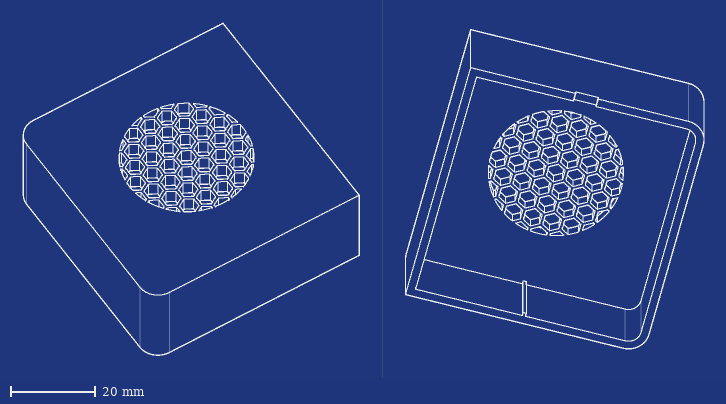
import cadquery as cq
import math

LENGTH = 60.1
DEPTH = 58.4
HEIGHT = 24.0
CORNER_RADIUS = 5.05

ROOF = 4.0
WALL = 2.0

GRILLE_X = -1.3
GRILLE_SETBACK = 29.85
GRILLE_DIAMETER = 32.0
CELL_WIDTH = 3.95
WEB = 0.8

NOTCH_WIDTH = 5.5
NOTCH_HEIGHT = 1.0

RIB_WIDTH = WEB
RIB_PROJECTION = WEB

LEFT = -LENGTH / 2
RIGHT = LENGTH / 2
FRONT = -DEPTH / 2
GRILLE_Y = FRONT + GRILLE_SETBACK
CAVITY_HEIGHT = HEIGHT - ROOF


def make_shell():
    """Box with two rounded front corners, hollowed from below."""
    outer = cq.Workplane("XY").box(LENGTH, DEPTH, HEIGHT, centered=(True, True, False))
    outer = outer.edges("|Z and <Y").fillet(CORNER_RADIUS)
    cavity = cq.Workplane("XY").box(
        LENGTH - 2 * WALL, DEPTH - 2 * WALL, CAVITY_HEIGHT, centered=(True, True, False)
    )
    cavity = cavity.edges("|Z and <Y").fillet(CORNER_RADIUS - WALL)
    return outer.cut(cavity)


def grille_cell_centres():
    """Honeycomb centres whose cells reach into the grille circle."""
    row_pitch = CELL_WIDTH + WEB
    column_pitch = row_pitch * math.cos(math.radians(30))
    cell_radius = CELL_WIDTH / math.sqrt(3)
    reach = GRILLE_DIAMETER / 2 + cell_radius
    columns = math.ceil(reach / column_pitch)
    rows = math.ceil(reach / row_pitch)
    centres = []
    for column in range(-columns, columns + 1):
        stagger = row_pitch / 2 if column % 2 else 0
        for row in range(-rows, rows + 1):
            x = column * column_pitch
            y = row * row_pitch + stagger
            if math.hypot(x, y) < reach:
                centres.append((x, y))
    return centres


def make_grille_openings():
    """Hexagonal prisms through the roof, trimmed to the grille circle."""
    base = cq.Workplane("XY", origin=(GRILLE_X, GRILLE_Y, CAVITY_HEIGHT))
    corner_to_corner = 2 * CELL_WIDTH / math.sqrt(3)
    cells = base.pushPoints(grille_cell_centres()).polygon(6, corner_to_corner).extrude(ROOF)
    disc = base.circle(GRILLE_DIAMETER / 2).extrude(ROOF)
    return disc.intersect(cells)


def make_cable_notch():
    notch = cq.Workplane("XY").box(WALL, NOTCH_WIDTH, NOTCH_HEIGHT, centered=(False, True, False))
    return notch.translate((LEFT, GRILLE_Y, 0))


def make_rib():
    rib_length = WALL + RIB_PROJECTION
    rib = cq.Workplane("XY").box(rib_length, RIB_WIDTH, HEIGHT, centered=(False, True, False))
    return rib.translate((RIGHT - rib_length, GRILLE_Y, 0))


result = make_shell().union(make_rib()).cut(make_grille_openings()).cut(make_cable_notch())